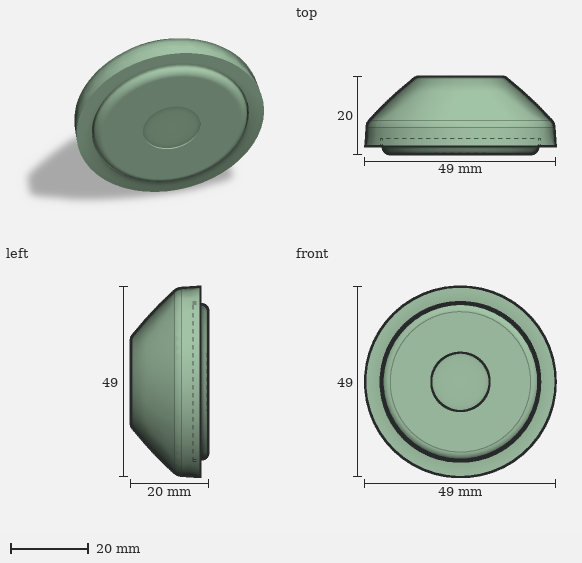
import cadquery as cq
import math

rim_radius = 24.5
body_depth = 18.0
rim_draft = 4.0
shoulder_y = 5.95
crown_radius = 11.25
dome_arc_radius = 99.95
shoulder_fillet = 3.0
crown_fillet = 2.0

pad_radius = 20.0
pad_height = 2.0
pad_edge_radius = 1.95
groove_outer_radius = 41.0 / 2
groove_depth = 2.0

recess_radius = 7.5
recess_depth = 0.4

shoulder_radius = rim_radius - shoulder_y * math.tan(math.radians(rim_draft))


def disc(radius, start_y, end_y):
    """Cylinder on the Y axis between two Y positions."""
    return cq.Workplane("XZ", origin=(0, end_y, 0)).circle(radius).extrude(end_y - start_y)


def make_body():
    """Drafted rim and slightly convex dome, rounded at the shoulder and crown."""
    run = shoulder_radius - crown_radius
    rise = body_depth - shoulder_y
    chord = math.hypot(run, rise)
    bulge = dome_arc_radius - math.sqrt(dome_arc_radius**2 - (chord / 2) ** 2)
    dome_middle = (
        (shoulder_radius + crown_radius) / 2 + bulge * rise / chord,
        (shoulder_y + body_depth) / 2 + bulge * run / chord,
    )
    body = (
        cq.Workplane("XY")
        .lineTo(rim_radius, 0)
        .lineTo(shoulder_radius, shoulder_y)
        .threePointArc(dome_middle, (crown_radius, body_depth))
        .lineTo(0, body_depth)
        .close()
        .revolve(360, (0, 0, 0), (0, 1, 0))
    )
    body = body.faces(">Y").edges().fillet(crown_fillet)
    selection_margin = 0.5
    shoulder_box = cq.selectors.BoxSelector(
        (-rim_radius, shoulder_y - selection_margin, -rim_radius),
        (rim_radius, shoulder_y + selection_margin, rim_radius),
    )
    return body.edges(shoulder_box).fillet(shoulder_fillet)


def make_pad():
    """Round-edged pad that reaches down to the groove floor."""
    pad = disc(pad_radius, -pad_height, groove_depth)
    return pad.faces("<Y").edges().fillet(pad_edge_radius)


groove_pocket = disc(groove_outer_radius, 0, groove_depth)
recess = disc(recess_radius, -pad_height, -pad_height + recess_depth)

result = make_body().cut(groove_pocket).union(make_pad()).cut(recess)